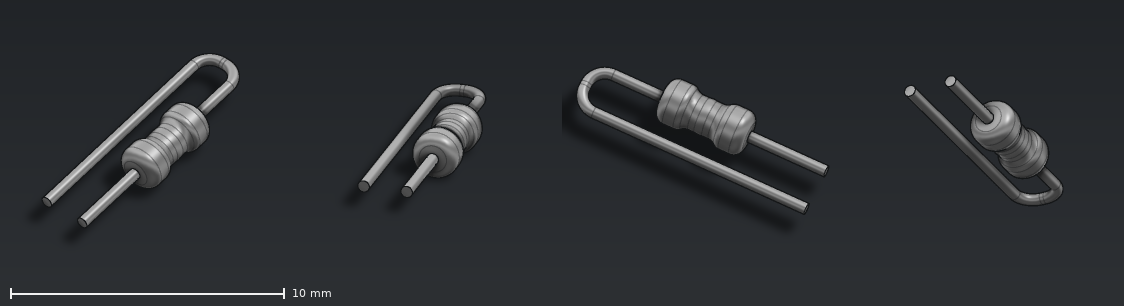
import cadquery as cq
import math


wire_radius = 0.225
lead_spacing = 1.65
bend_radius = 0.75
lead_end_y = -4.895
overall_length = 9.62
bend_top_y = lead_end_y + overall_length - wire_radius
bend_start_y = bend_top_y - bend_radius

cap_radius = 0.89
waist_radius = 0.7
end_round_radius = 0.4
shoulder_radius = 0.35
hollow_radius = 0.4
cap_band_inner_y = 0.913
cap_band_outer_y = 1.348
end_cone_angle = math.radians(5)
bulge_half_width = 0.16
bulge_height = 0.02


def body_half_profile():
    """Named (radius, y) points of the +Y half of the body outline, from the waist outwards."""
    sweep = math.acos(1 - (cap_radius - waist_radius) / (hollow_radius + shoulder_radius))
    step_middle_y = cap_band_inner_y - shoulder_radius * math.sin(sweep)
    waist_end_y = step_middle_y - hollow_radius * math.sin(sweep)
    full_rise = 1 - math.cos(sweep)
    half_rise = 1 - math.cos(sweep / 2)
    half_run = math.sin(sweep / 2)
    hollow_middle = (
        waist_radius + hollow_radius * half_rise,
        waist_end_y + hollow_radius * half_run,
    )
    shoulder_middle = (
        cap_radius - shoulder_radius * half_rise,
        cap_band_inner_y - shoulder_radius * half_run,
    )

    round_centre_r = cap_radius - end_round_radius
    middle_angle = (math.pi / 2 - end_cone_angle) / 2
    round_middle = (
        round_centre_r + end_round_radius * math.cos(middle_angle),
        cap_band_outer_y + end_round_radius * math.sin(middle_angle),
    )
    cone_rim = (
        round_centre_r + end_round_radius * math.sin(end_cone_angle),
        cap_band_outer_y + end_round_radius * math.cos(end_cone_angle),
    )
    cone_height = (cone_rim[0] - wire_radius) * math.tan(end_cone_angle)

    return {
        "bulge_edge": (waist_radius, bulge_half_width),
        "waist_end": (waist_radius, waist_end_y),
        "hollow_middle": hollow_middle,
        "step_middle": (waist_radius + hollow_radius * full_rise, step_middle_y),
        "shoulder_middle": shoulder_middle,
        "band_inner": (cap_radius, cap_band_inner_y),
        "band_outer": (cap_radius, cap_band_outer_y),
        "round_middle": round_middle,
        "cone_rim": cone_rim,
        "cone_tip": (wire_radius, cone_rim[1] + cone_height),
    }


def make_body():
    """Revolve the dumbbell outline about the Y axis."""
    upper = body_half_profile()
    lower = {name: (radius, -y) for name, (radius, y) in upper.items()}
    outline = (
        cq.Workplane("XY")
        .moveTo(0, lower["cone_tip"][1])
        .lineTo(*lower["cone_tip"])
        .lineTo(*lower["cone_rim"])
        .threePointArc(lower["round_middle"], lower["band_outer"])
        .lineTo(*lower["band_inner"])
        .threePointArc(lower["shoulder_middle"], lower["step_middle"])
        .threePointArc(lower["hollow_middle"], lower["waist_end"])
        .lineTo(*lower["bulge_edge"])
        .threePointArc((waist_radius + bulge_height, 0), upper["bulge_edge"])
        .lineTo(*upper["waist_end"])
        .threePointArc(upper["hollow_middle"], upper["step_middle"])
        .threePointArc(upper["shoulder_middle"], upper["band_inner"])
        .lineTo(*upper["band_outer"])
        .threePointArc(upper["round_middle"], upper["cone_rim"])
        .lineTo(*upper["cone_tip"])
        .lineTo(0, upper["cone_tip"][1])
        .close()
    )
    return outline.revolve(360, (0, 0, 0), (0, 1, 0))


def make_lead():
    """Sweep the wire up through the body, round two quarter bends and back down."""
    path = (
        cq.Workplane("XY")
        .moveTo(0, lead_end_y)
        .lineTo(0, bend_start_y)
        .tangentArcPoint((-bend_radius, bend_top_y), relative=False)
        .lineTo(bend_radius - lead_spacing, bend_top_y)
        .tangentArcPoint((-lead_spacing, bend_start_y), relative=False)
        .lineTo(-lead_spacing, lead_end_y)
    )
    section = cq.Workplane("XZ", origin=(0, lead_end_y, 0)).circle(wire_radius)
    return section.sweep(path)


result = make_body().union(make_lead())